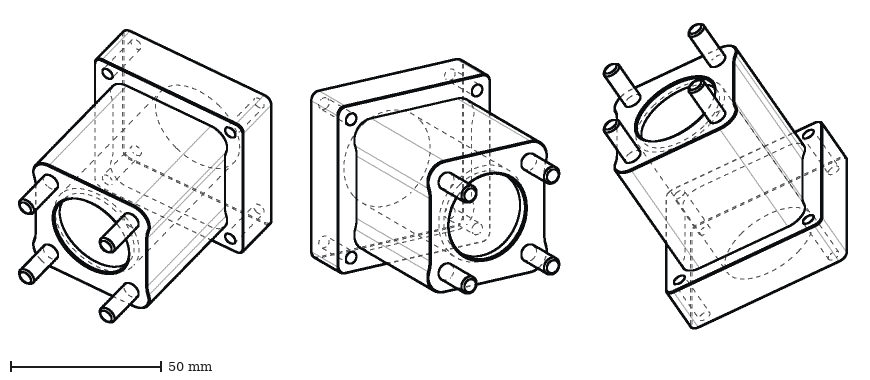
import cadquery as cq
import math

total_length = 78.0
flange_depth = 17.0
pin_length = 15.0
body_length = total_length - flange_depth - pin_length
back_y = total_length / 2
flange_front_y = back_y - flange_depth
body_front_y = flange_front_y - body_length

flange_size = 60.0
flange_corner_radius = 3.0
edge_chamfer = 0.3
mount_hole_diameter = 4.1
mount_hole_pitch = 49.5

body_size = 47.0
body_corner_radius = 6.55
waist_depth = 0.9
waist_blend_radius = 11.85

lip_diameter = 30.0
lip_length = 3.5
lip_chamfer = 0.5
chamber_diameter = 34.0

pin_diameter = 6.0
pin_chamfer = 0.7
pin_pitch = 32.5


def plane_at(y):
    """XZ sketch plane at the given Y, extruding toward -Y."""
    return cq.Workplane("XZ", origin=(0, y, 0))


def make_flange():
    block = plane_at(back_y).rect(flange_size, flange_size).extrude(flange_depth)
    block = block.edges("|Y").fillet(flange_corner_radius)
    block = block.faces("<Y or >Y").chamfer(edge_chamfer)
    holes = (
        plane_at(back_y)
        .rect(mount_hole_pitch, mount_hole_pitch, forConstruction=True)
        .vertices()
        .circle(mount_hole_diameter / 2)
        .extrude(flange_depth)
    )
    return block.cut(holes)


def make_body():
    half = body_size / 2
    corner_center = half - body_corner_radius
    waist_x = half - waist_depth
    center_gap = body_corner_radius + waist_blend_radius
    blend_angle = math.acos(1 - waist_depth / center_gap)
    blend_center_x = waist_x + waist_blend_radius
    blend_end_z = corner_center - center_gap * math.sin(blend_angle)

    def on_corner(angle):
        return (
            corner_center + body_corner_radius * math.cos(angle),
            corner_center + body_corner_radius * math.sin(angle),
        )

    corner_end = on_corner(-blend_angle)
    corner_middle = on_corner((math.pi / 2 - blend_angle) / 2)
    blend_middle = (
        blend_center_x - waist_blend_radius * math.cos(blend_angle / 2),
        blend_end_z + waist_blend_radius * math.sin(blend_angle / 2),
    )
    quarter = (
        plane_at(flange_front_y)
        .lineTo(0, half)
        .lineTo(corner_center, half)
        .threePointArc(corner_middle, corner_end)
        .threePointArc(blend_middle, (waist_x, blend_end_z))
        .lineTo(waist_x, 0)
        .close()
        .extrude(body_length)
    )
    right_half = quarter.union(quarter.mirror("XY"))
    body = right_half.union(right_half.mirror("YZ")).clean()
    return body.faces("<Y").chamfer(edge_chamfer)


def make_bore():
    lip_radius = lip_diameter / 2
    chamber_radius = chamber_diameter / 2
    chamber_y = body_front_y + lip_length
    profile = [
        (0, body_front_y),
        (lip_radius + lip_chamfer, body_front_y),
        (lip_radius, body_front_y + lip_chamfer),
        (lip_radius, chamber_y),
        (chamber_radius, chamber_y),
        (chamber_radius, back_y),
        (0, back_y),
    ]
    return cq.Workplane("XY").polyline(profile).close().revolve(360, (0, 0), (0, 1))


def make_pins():
    pins = (
        plane_at(body_front_y)
        .rect(pin_pitch, pin_pitch, forConstruction=True)
        .vertices()
        .circle(pin_diameter / 2)
        .extrude(pin_length)
    )
    return pins.faces("<Y").chamfer(pin_chamfer)


result = make_flange().union(make_body()).cut(make_bore()).union(make_pins())